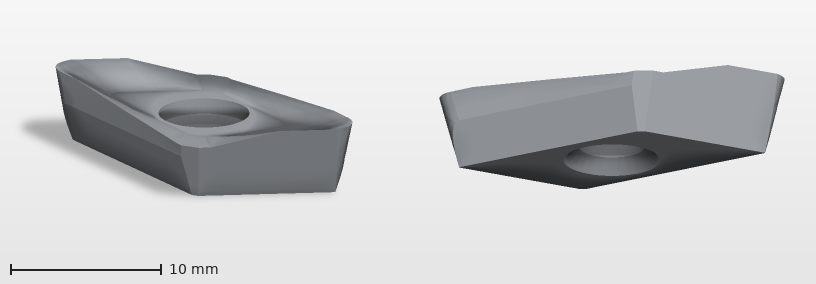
import cadquery as cq
import math

length = 22.0
thickness = 5.0

end_normal_angle = math.radians(-30.2)
end_offset_bottom = 6.18
end_offset_top = 7.96

upper_nose_half_width = 5.0
upper_blunt_half_width_top = 5.52
upper_blunt_half_width_bottom = 4.55
lower_nose_half_width = 4.0
lower_blunt_half_width = 4.14
lower_flare = 0.34
blunt_x = 4.9

nose_radius = 1.55
nose_lean = 0.29

chamfer_normal_angle = math.radians(-60.3)
chamfer_offset_bottom = 5.8
chamfer_flare = 0.32

plateau_z = 3.7
low_rim_z = 3.83
rake_overshoot = 1.2
clearance_z = 2 * thickness

head_radius = 3.01
seat_radius = 2.65
bore_radius = 2.2
relief_radius = 3.21
head_bottom_z = 2.65
seat_z = 2.05
bore_top_z = 1.43
relief_z = 0.95
seat_bulge = 0.05


def opposite(point):
    """Half turn about the Z axis."""
    return (-point[0], -point[1], *point[2:])


def crossing(nose, blunt, offset):
    """Where the line from nose to blunt meets the +X end line."""
    nx, ny = math.cos(end_normal_angle), math.sin(end_normal_angle)
    dx, dy = blunt[0] - nose[0], blunt[1] - nose[1]
    t = (offset - nx * nose[0] - ny * nose[1]) / (nx * dx + ny * dy)
    return (nose[0] + t * dx, nose[1] + t * dy)


def closed_outline(nose, blunt, z):
    """Four-sided outline from one nose corner and one blunt corner."""
    corners = [nose, blunt, opposite(nose), opposite(blunt)]
    return cq.Wire.makePolygon([cq.Vector(x, y, z) for x, y in corners], close=True)


def lower_outline(offset, flare, z):
    """Sharp-cornered outline bounded by the end flanks and the lower side flanks."""
    nx, ny = math.cos(end_normal_angle), math.sin(end_normal_angle)
    nose_y = -lower_nose_half_width - flare
    nose = ((-offset - ny * nose_y) / nx, nose_y)
    blunt = crossing(nose, (blunt_x, -lower_blunt_half_width - flare), offset)
    return closed_outline(nose, blunt, z)


def upper_outline(half_length, blunt_half_width, z):
    """Outline bounded by the nose flats and the upper side flanks."""
    slope = (blunt_half_width - upper_nose_half_width) / (blunt_x + half_length)
    nose = (-half_length, -upper_nose_half_width)
    blunt = (half_length, -upper_nose_half_width - slope * 2 * half_length)
    return closed_outline(nose, blunt, z)


def upper_body():
    half_length = length / 2
    top = upper_outline(half_length, upper_blunt_half_width_top, thickness)
    bottom = upper_outline(half_length - nose_lean * thickness, upper_blunt_half_width_bottom, 0)
    body = cq.Workplane(obj=cq.Solid.makeLoft([bottom, top], True))
    nose_edges = [
        edge
        for edge in body.edges().vals()
        if edge.BoundingBox().zlen > thickness / 2 and edge.Center().x * edge.Center().y > 0
    ]
    return body.newObject(nose_edges).fillet(nose_radius)


def lower_body():
    bottom = lower_outline(end_offset_bottom, 0, 0)
    top = lower_outline(end_offset_top, lower_flare * thickness, thickness)
    return cq.Workplane(obj=cq.Solid.makeLoft([bottom, top], True))


def chamfer_limits():
    """Slab between the two blunt-corner chamfer planes."""
    top_offset = chamfer_offset_bottom + chamfer_flare * thickness
    return (
        cq.Workplane("XZ")
        .polyline([
            (-chamfer_offset_bottom, 0),
            (chamfer_offset_bottom, 0),
            (top_offset, thickness),
            (-top_offset, thickness),
        ])
        .close()
        .extrude(length, both=True)
        .rotate((0, 0, 0), (0, 0, 1), math.degrees(chamfer_normal_angle))
    )


def rake_cutter():
    """Recess above the plateau, bounded by ruled rake faces rising to the rim."""
    half = [
        ((-10.98, -3.01, thickness), (-6.58, -1.83)),
        ((-10.55, -4.49, thickness), (-6.82, -2.57)),
        ((-9.44, -5.0, thickness), (-6.35, -3.2)),
        ((-8.18, -5.02, thickness), (-6.07, -3.28)),
        ((4.31, -5.28, low_rim_z), (2.53, -3.28)),
        ((4.97, -5.25, low_rim_z), (3.0, -3.28)),
        ((6.05, -4.66, low_rim_z), (3.65, -3.01)),
        ((6.38, -4.0, low_rim_z), (3.98, -2.65)),
        ((9.1, -0.2, thickness), (5.52, -0.05)),
    ]
    pairs = half + [(opposite(rim), opposite(inner)) for rim, inner in half]
    inner_points = [cq.Vector(x, y, plateau_z) for _, (x, y) in pairs]
    outer_points = [
        inner + (cq.Vector(*rim) - inner) * rake_overshoot
        for (rim, _), inner in zip(pairs, inner_points)
    ]
    lid_points = [cq.Vector(p.x, p.y, clearance_z) for p in outer_points]

    def loop_edges(points):
        edges = []
        count = len(half)
        for start in (0, count):
            edges.append(cq.Edge.makeThreePointArc(*points[start:start + 3]))
            for i in range(start + 2, start + count):
                edges.append(cq.Edge.makeLine(points[i], points[(i + 1) % len(points)]))
        return edges

    inner, outer, lid = [loop_edges(points) for points in (inner_points, outer_points, lid_points)]
    faces = [cq.Face.makeRuledSurface(a, b) for a, b in zip(inner, outer)]
    faces += [cq.Face.makeRuledSurface(a, b) for a, b in zip(outer, lid)]
    faces += [cq.Face.makeFromWires(cq.Wire.assembleEdges(edges)) for edges in (inner, lid)]
    return cq.Workplane(obj=cq.Solid.makeSolid(cq.Shell.makeShell(faces)).fix())


def screw_hole():
    """Head counterbore, rounded seat, tapered throat, short bore and bottom relief."""
    seat_mid = (
        (head_radius + seat_radius) / 2 - seat_bulge,
        (head_bottom_z + seat_z) / 2 + seat_bulge,
    )
    return (
        cq.Workplane("XZ")
        .lineTo(relief_radius, 0)
        .lineTo(bore_radius, relief_z)
        .lineTo(bore_radius, bore_top_z)
        .lineTo(seat_radius, seat_z)
        .threePointArc(seat_mid, (head_radius, head_bottom_z))
        .lineTo(head_radius, thickness)
        .lineTo(0, thickness)
        .close()
        .revolve(360, (0, 0), (0, 1))
    )


body = upper_body().intersect(lower_body()).intersect(chamfer_limits())
result = body.cut(rake_cutter()).cut(screw_hole())